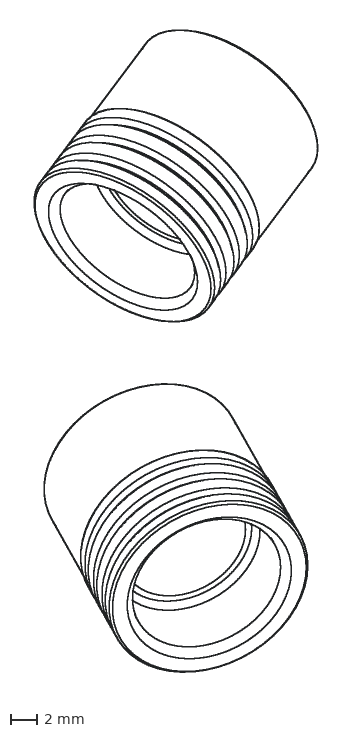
import cadquery as cq

length = 16.0
collar_radius = 8.05
collar_length = 7.0
body_radius = 7.95
edge_chamfer = 0.2

groove_count = 3
groove_pitch = 2.0
first_groove_offset = 1.5
groove_depth = 0.4

through_radius = 5.0
counterbore_radius = 6.0
counterbore_depth = 6.0
shoulder_outer_radius = 5.5
mouth_chamfer = 0.65

front_y = 0.0
back_y = front_y + length
collar_end_y = front_y + collar_length
shoulder_y = front_y + counterbore_depth
mouth_end_y = front_y + mouth_chamfer
taper_start_y = shoulder_y - (counterbore_radius - shoulder_outer_radius)
collar_step = collar_radius - body_radius


def revolve_about_y(profile):
    """Revolve a list of (radius, y) points a full turn about the Y axis."""
    return cq.Workplane("XY").polyline(profile).close().revolve(360, (0, 0, 0), (0, 1, 0))


def make_outer_body():
    """Solid sleeve blank: collar with a 45 degree step down to the plain body."""
    return revolve_about_y([
        (0, front_y),
        (collar_radius - edge_chamfer, front_y),
        (collar_radius, front_y + edge_chamfer),
        (collar_radius, collar_end_y - collar_step),
        (body_radius, collar_end_y),
        (body_radius, back_y - edge_chamfer),
        (body_radius - edge_chamfer, back_y),
        (0, back_y),
    ])


def make_bore():
    """Bore with a chamfered mouth, a tapered counterbore bottom and a flat shoulder."""
    return revolve_about_y([
        (0, front_y),
        (counterbore_radius + mouth_chamfer, front_y),
        (counterbore_radius, mouth_end_y),
        (counterbore_radius, taper_start_y),
        (shoulder_outer_radius, shoulder_y),
        (through_radius, shoulder_y),
        (through_radius, back_y),
        (0, back_y),
    ])


def make_groove(groove_y):
    """Ring with a triangular section that cuts one V-groove at groove_y."""
    return revolve_about_y([
        (collar_radius - groove_depth, groove_y),
        (collar_radius, groove_y - groove_depth),
        (collar_radius, groove_y + groove_depth),
    ])


result = make_outer_body().cut(make_bore())
for index in range(groove_count):
    result = result.cut(make_groove(front_y + first_groove_offset + index * groove_pitch))